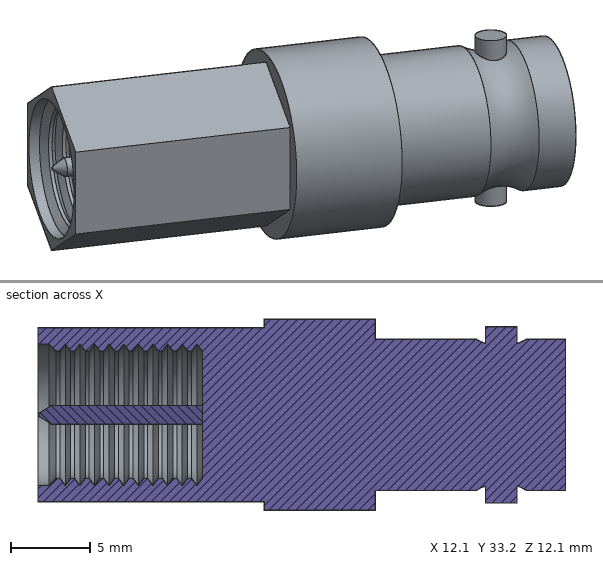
import cadquery as cq
import math


total_length = 33.22
hex_length = 14.25
collar_length = 7.0
rim_length = 2.45
groove_width = 3.2

mouth_y = -total_length / 2
collar_start_y = mouth_y + hex_length
collar_end_y = collar_start_y + collar_length
barrel_end_y = total_length / 2
groove_end_y = barrel_end_y - rim_length
groove_mid_y = groove_end_y - groove_width / 2
groove_start_y = groove_end_y - groove_width

hex_across_flats = 9.5
collar_radius = 12.06 / 2
barrel_radius = 9.55 / 2
groove_depth = 0.45

lug_diameter = 2.0
lug_span = 11.1

thread_root_radius = 4.45
thread_crest_radius = 4.0
thread_pitch = 0.92
thread_crest_flat = 0.24
thread_flank_length = (thread_pitch - thread_crest_flat) / 2
lead_in_length = 0.7
lead_in_taper_length = thread_root_radius - thread_crest_radius
thread_count = 10
first_crest_y = mouth_y + lead_in_length + lead_in_taper_length
bore_floor_y = first_crest_y + thread_count * thread_pitch

pin_radius = 0.6
pin_tip_radius = 0.1
pin_tip_setback = 0.05
pin_tip_length = 0.8
pin_tip_y = mouth_y + pin_tip_setback


def revolve_about_y(profile):
    """Revolve a closed (radius, y) profile a full turn about the Y axis."""
    return profile.close().revolve(360, (0, 0, 0), (0, 1, 0))


def hex_sleeve():
    """Hexagonal bar with corners on +Z and -Z."""
    across_corners = hex_across_flats / math.cos(math.radians(30))
    bar = cq.Workplane("XY").polygon(6, across_corners).extrude(hex_length)
    return (
        bar.rotate((0, 0, 0), (0, 0, 1), 90)
        .rotate((0, 0, 0), (1, 0, 0), -90)
        .translate((0, mouth_y, 0))
    )


def collar_and_barrel():
    """Round collar and barrel with an arc-shaped groove around the bayonet lugs."""
    profile = (
        cq.Workplane("XY")
        .moveTo(0, collar_start_y)
        .lineTo(collar_radius, collar_start_y)
        .lineTo(collar_radius, collar_end_y)
        .lineTo(barrel_radius, collar_end_y)
        .lineTo(barrel_radius, groove_start_y)
        .threePointArc((barrel_radius - groove_depth, groove_mid_y), (barrel_radius, groove_end_y))
        .lineTo(barrel_radius, barrel_end_y)
        .lineTo(0, barrel_end_y)
    )
    return revolve_about_y(profile)


def bayonet_lugs():
    """Round bar along Z whose two ends stand out of the groove as lugs."""
    return (
        cq.Workplane("XY", origin=(0, groove_mid_y, 0))
        .circle(lug_diameter / 2)
        .extrude(lug_span / 2, both=True)
    )


def threaded_bore():
    """Bore with a plain lead-in followed by ring-shaped V threads, open at the mouth."""
    profile = (
        cq.Workplane("XY")
        .moveTo(0, mouth_y)
        .lineTo(thread_root_radius, mouth_y)
        .lineTo(thread_root_radius, mouth_y + lead_in_length)
        .lineTo(thread_crest_radius, first_crest_y)
    )
    for index in range(thread_count):
        crest_y = first_crest_y + index * thread_pitch
        root_y = crest_y + thread_crest_flat + thread_flank_length
        profile = profile.lineTo(thread_crest_radius, crest_y + thread_crest_flat)
        profile = profile.lineTo(thread_root_radius, root_y)
        profile = profile.lineTo(thread_crest_radius, crest_y + thread_pitch)
    return revolve_about_y(profile.lineTo(0, bore_floor_y))


def contact_pin():
    """Round pin standing on the bore floor, tapered at the mouth end."""
    profile = (
        cq.Workplane("XY")
        .moveTo(0, pin_tip_y)
        .lineTo(pin_tip_radius, pin_tip_y)
        .lineTo(pin_radius, pin_tip_y + pin_tip_length)
        .lineTo(pin_radius, bore_floor_y)
        .lineTo(0, bore_floor_y)
    )
    return revolve_about_y(profile)


housing = hex_sleeve().union(collar_and_barrel()).union(bayonet_lugs()).cut(threaded_bore())
pin = contact_pin()

result = cq.Compound.makeCompound([housing.val(), pin.val()])